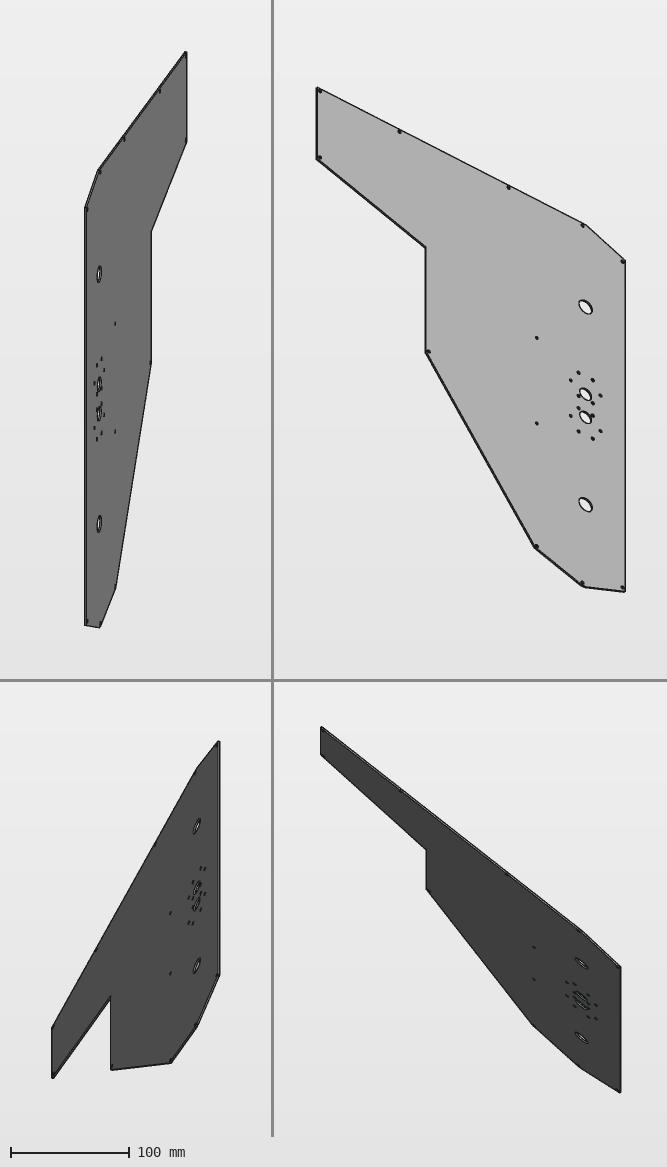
import cadquery as cq

thickness = 1.57
width = 325.5
half_height = 207.0

front_edge_half = 189.0
front_corner_y = 42.0
bottom_flat_end_y = 46.5
lower_corner = (95.0, -191.0)
notch_y = 210.5
notch_bottom_z = -31.5
notch_top_z = 87.7
arm_bottom_z = 125.5

bore_y = 42.0
outer_bore_diameter = 14.0
outer_bore_z = 113.0
inner_bore_diameter = 12.5
inner_bore_z = 13.2

inner_screw_diameter = 3.05
inner_screw_half_pitch = 7.5
inner_screw_heights = (7.0, 33.5)
side_screw_diameter = 2.8
side_screw_half_pitch = 15.7
side_screw_z = 20.3

rear_hole_diameter = 2.52
rear_hole_y = 93.5
rear_hole_z = 49.0

rim_hole_diameter = 3.05
rim_inset = 3.0
rim_top_z = half_height - rim_inset
rim_back_y = width - rim_inset
rim_corner_y = 45.0
rim_front_z = 186.2
rim_top_hole_ys = (rim_corner_y, 123.5, 238.8, rim_back_y)
rim_lower_hole = (93.5, -189.0)
rim_notch_hole_z = -30.0
rim_arm_hole_z = 128.3
rim_holes = [(y, rim_top_z) for y in rim_top_hole_ys] + [
    (rim_inset, rim_front_z),
    (rim_inset, -rim_front_z),
    (rim_corner_y, -rim_top_z),
    rim_lower_hole,
    (notch_y - rim_inset, rim_notch_hole_z),
    (rim_back_y, rim_arm_hole_z),
]


def make_plate():
    outline = [
        (0, front_edge_half),
        (front_corner_y, half_height),
        (width, half_height),
        (width, arm_bottom_z),
        (notch_y, notch_top_z),
        (notch_y, notch_bottom_z),
        lower_corner,
        (bottom_flat_end_y, -half_height),
        (front_corner_y, -half_height),
        (0, -front_edge_half),
    ]
    return cq.Workplane("YZ").polyline(outline).close().extrude(thickness)


def mirrored(y, z):
    """Positions above and below mid-height."""
    return [(y, z), (y, -z)]


def mirrored_pairs(half_pitch, z):
    """Four positions, symmetric about the bore line and about mid-height."""
    return mirrored(bore_y - half_pitch, z) + mirrored(bore_y + half_pitch, z)


def drill(plate, positions, diameter):
    holes = cq.Workplane("YZ").pushPoints(positions).circle(diameter / 2).extrude(thickness)
    return plate.cut(holes)


result = make_plate()
result = drill(result, mirrored(bore_y, outer_bore_z), outer_bore_diameter)
result = drill(result, mirrored(bore_y, inner_bore_z), inner_bore_diameter)
for screw_z in inner_screw_heights:
    result = drill(result, mirrored_pairs(inner_screw_half_pitch, screw_z), inner_screw_diameter)
result = drill(result, mirrored_pairs(side_screw_half_pitch, side_screw_z), side_screw_diameter)
result = drill(result, mirrored(rear_hole_y, rear_hole_z), rear_hole_diameter)
result = drill(result, rim_holes, rim_hole_diameter)